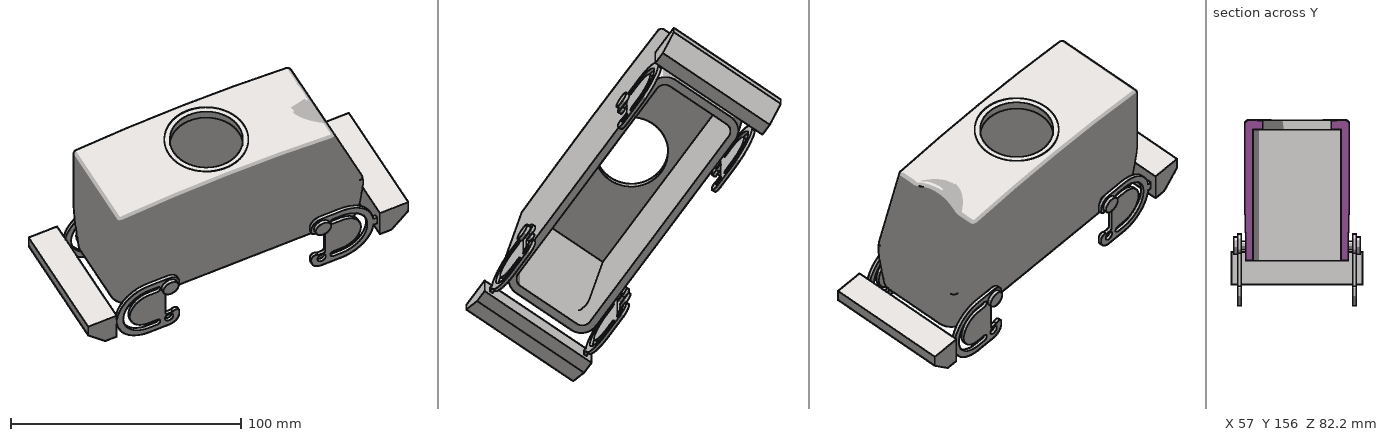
import cadquery as cq
import math

hood_half_width = 22.8
rim_half_width = 22.3
hood_half_length = 59.9
band_height = 6.7
shoulder_height = 23.5
knee_height = 18.7
shoulder_back = 59.3
back_top = 45.5
crown_height = 61.2
crown_radius = 655.2
edge_radius = 2.0
rim_corner_radius = 7.6
wall = 3.7
cavity_corner_radius = 4.0
corner_growth_power = 1.5

entry_y = -6.0
entry_radius = 15.9
spotface_radius = 18.3
spotface_depth = 0.3
roof_thickness = 4.0

rise_top = 63.0
rise_radius = 22.6
rise_back_off = 0.6
rise_slope = 20.5

lever_inner_x = 24.2
lever_thickness = 1.5
lever_y = 47.0
lever_z = -4.0
lever_radius = 15.6
slot_radius = 10.9
slot_width = 3.1
slot_end_y = 43.0
back_edge_y = 38.8
ear_y = 37.1
ear_radius = 5.0
ear_height = lever_radius - ear_radius
neck_offset = 7.8
neck_fillet = 0.8
knob_radius = 1.9
knob_height = 9.0
lever_hole_radius = 2.0

pivot_head_radius = 3.7
pivot_head_end_x = 27.5
pivot_pin_radius = 1.9

bar_length = 57.0
bar_outer_y = 78.0
bar_depth = 13.9
bar_top = 3.7
bar_height = 14.2
bar_chamfer = 8.3
stem_height = 3.9


def roof_z(y):
    """Height of the arched roof at y."""
    return crown_height - crown_radius + math.sqrt(crown_radius**2 - (y - entry_y) ** 2)


lean_slope = (shoulder_back - back_top) / (roof_z(back_top) - shoulder_height)
lean_angle = math.atan(lean_slope)


def back_wall_y(z):
    """Y of the leaning +Y wall at height z."""
    return shoulder_back - (z - shoulder_height) * lean_slope


def prism(points, x_start, x_end):
    """Extrude a closed (Y, Z) polygon along X."""
    return cq.Workplane("YZ", origin=(x_start, 0, 0)).polyline(points).close().extrude(x_end - x_start)


def foot_wire(z):
    """Rounded rectangle of the flared foot at height z."""
    drop = (shoulder_height - z) / shoulder_height
    corner = edge_radius + (rim_corner_radius - edge_radius) * drop**corner_growth_power
    narrowing = min(1, (shoulder_height - z) / (shoulder_height - band_height))
    half_width = hood_half_width - (hood_half_width - rim_half_width) * narrowing
    back = shoulder_back if z > knee_height else hood_half_length
    length = back + hood_half_length
    block = cq.Workplane("XY", origin=(0, back - length / 2, z)).rect(2 * half_width, length).extrude(1.5)
    return block.edges("|Z").fillet(corner).faces("<Z").wires().val()


def foot():
    """Lower hood, whose corners grow rounder toward the bottom rim."""
    band = cq.Solid.makeLoft([foot_wire(z) for z in (0, band_height)], True)
    flare_heights = (band_height, (band_height + knee_height) / 2, knee_height, shoulder_height)
    flare = cq.Solid.makeLoft([foot_wire(z) for z in flare_heights])
    return cq.Workplane(band).union(cq.Workplane(flare))


def upper_hood():
    """Walls above the shoulder, the arched roof and the thumb rise, with all edges rounded."""
    body = (
        cq.Workplane("YZ", origin=(-hood_half_width, 0, 0))
        .moveTo(-hood_half_length, shoulder_height)
        .lineTo(shoulder_back, shoulder_height)
        .lineTo(back_top, roof_z(back_top))
        .threePointArc((entry_y, crown_height), (-hood_half_length, roof_z(-hood_half_length)))
        .close()
        .extrude(2 * hood_half_width)
    )
    body = body.union(thumb_rise())
    above_shoulder = cq.selectors.BoxSelector(
        (-hood_half_width - 1.5, -hood_half_length - 1.5, shoulder_height + 1.5),
        (hood_half_width + 1.5, hood_half_length + 1.5, rise_top + 1.5),
    )
    return body.edges(above_shoulder).fillet(edge_radius)


def thumb_rise():
    """Top of a tilted round rod, cut flush with the leaning +Y wall."""
    base_z = crown_height - roof_thickness
    above_z = rise_top + 1.5
    front_y = entry_y + spotface_radius
    wedge = prism(
        [
            (front_y, base_z),
            (back_wall_y(base_z), base_z),
            (back_wall_y(above_z), above_z),
            (front_y, above_z),
        ],
        -hood_half_width, hood_half_width,
    )
    slope = math.radians(rise_slope)
    crest_y = back_wall_y(rise_top) - rise_back_off
    axis = cq.Vector(0, math.cos(slope), math.sin(slope))
    start = cq.Vector(
        0,
        crest_y + rise_radius * math.sin(slope),
        rise_top - rise_radius * math.cos(slope),
    ) - axis * hood_half_length
    rod = cq.Workplane(cq.Solid.makeCylinder(rise_radius, 2 * hood_half_length, start, axis))
    return wedge.intersect(rod)


def cavity():
    """Hollow of the hood, following the outer walls."""
    ceiling = crown_height - spotface_depth - roof_thickness
    inset = wall / math.cos(lean_angle)
    front = wall - hood_half_length
    return prism(
        [
            (front, 0),
            (hood_half_length - wall, 0),
            (hood_half_length - wall, knee_height),
            (back_wall_y(shoulder_height) - inset, shoulder_height),
            (back_wall_y(ceiling) - inset, ceiling),
            (front, ceiling),
        ],
        wall - hood_half_width, hood_half_width - wall,
    ).edges("|Z").fillet(cavity_corner_radius)


def hood():
    """Hollow hood with the cable entry and its spotface."""
    shell = foot().union(upper_hood()).cut(cavity())
    roof = cq.Workplane("XY", origin=(0, entry_y, crown_height))
    spotface = roof.circle(spotface_radius).extrude(-spotface_depth)
    entry = roof.circle(entry_radius).extrude(-2 * roof_thickness)
    return shell.cut(spotface).cut(entry)


def lever_half(side):
    """Lever plate half above (side = 1) or below (side = -1) lever_z, without openings."""
    def at(y, height):
        return (y, lever_z + side * height)

    tip_y = ear_y - ear_radius
    diagonal = math.sqrt(0.5)
    knob_y = tip_y + knob_radius
    neck_y = knob_y + math.sqrt(knob_radius**2 - (knob_height - neck_offset) ** 2)
    return (
        cq.Workplane("YZ", origin=(lever_inner_x, 0, 0))
        .moveTo(*at(lever_y + lever_radius, 0))
        .threePointArc(
            at(lever_y + lever_radius * diagonal, lever_radius * diagonal),
            at(lever_y, lever_radius),
        )
        .lineTo(*at(ear_y, lever_radius))
        .threePointArc(
            at(ear_y - ear_radius * diagonal, ear_height + ear_radius * diagonal),
            at(tip_y, ear_height),
        )
        .lineTo(*at(tip_y, knob_height))
        .threePointArc(at(knob_y, knob_height - knob_radius), at(neck_y, neck_offset))
        .lineTo(*at(back_edge_y - neck_fillet, neck_offset))
        .threePointArc(
            at(back_edge_y - neck_fillet * (1 - diagonal), neck_offset - neck_fillet * (1 - diagonal)),
            at(back_edge_y, neck_offset - neck_fillet),
        )
        .lineTo(*at(back_edge_y, 0))
        .close()
        .extrude(lever_thickness)
    )


def cylinder_x(radius, y, z, x_start, x_end):
    """Cylinder along X."""
    return cq.Workplane("YZ", origin=(x_start, y, z)).circle(radius).extrude(x_end - x_start)


def lever_slot():
    """C-shaped slot that follows the round side of the lever."""
    plane = cq.Workplane("YZ", origin=(lever_inner_x, lever_y, lever_z))
    outer_radius = slot_radius + slot_width / 2
    ring = plane.circle(outer_radius).circle(outer_radius - slot_width).extrude(lever_thickness)
    flat_half = plane.center(-outer_radius, 0).rect(2 * outer_radius, 2 * outer_radius)
    slot = ring.cut(flat_half.extrude(lever_thickness))
    arm = lever_y - slot_end_y
    for z in (-slot_radius, slot_radius):
        slot = slot.union(plane.center(-arm / 2, z).rect(arm, slot_width).extrude(lever_thickness))
        slot = slot.union(plane.center(-arm, z).circle(slot_width / 2).extrude(lever_thickness))
    return slot


def side_lever():
    """Lever plate with its pivot on the +X side of the +Y end."""
    outer_x = lever_inner_x + lever_thickness
    stem_start = lever_y + slot_radius + slot_width
    stem_end = bar_outer_y - bar_depth
    stem = prism(
        [
            (stem_start, lever_z - stem_height / 2),
            (stem_end, lever_z - stem_height / 2),
            (stem_end, lever_z + stem_height / 2),
            (stem_start, lever_z + stem_height / 2),
        ],
        lever_inner_x, outer_x,
    )
    plate = lever_half(1).union(lever_half(-1)).union(stem).cut(lever_slot())
    plate = plate.cut(cylinder_x(lever_hole_radius, ear_y, lever_z - ear_height, lever_inner_x, outer_x))
    pin = cylinder_x(pivot_pin_radius, ear_y, lever_z + ear_height, hood_half_width - wall / 2, outer_x)
    head = cylinder_x(pivot_head_radius, ear_y, lever_z + ear_height, outer_x, pivot_head_end_x)
    return plate.union(pin).union(head)


def handle_bar():
    """Bar across the +Y end that joins both lever plates."""
    inner_y = bar_outer_y - bar_depth
    bottom = bar_top - bar_height
    return prism(
        [
            (inner_y, bottom),
            (bar_outer_y - bar_chamfer, bottom),
            (bar_outer_y, bottom + bar_chamfer),
            (bar_outer_y, bar_top),
            (inner_y, bar_top),
        ],
        -bar_length / 2, bar_length / 2,
    )


right_lever = side_lever()
lever = handle_bar().union(right_lever).union(right_lever.mirror("YZ"))
result = hood().union(lever).union(lever.mirror("XZ"))